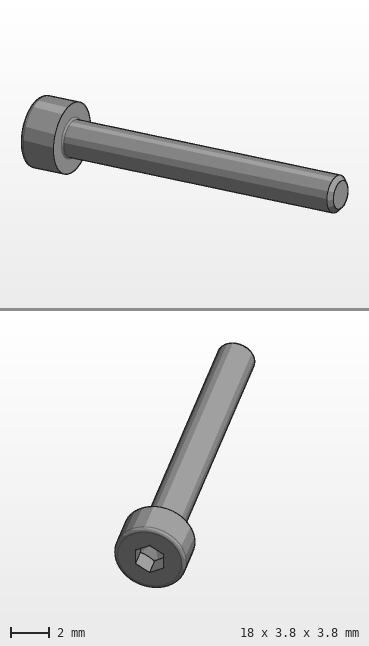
import cadquery as cq
import math

shank_diameter = 2.0
shank_length = 16.0
head_diameter = 3.8
head_height = shank_diameter
head_edge_radius = 0.2
neck_fillet_radius = 0.1
tip_diameter = 1.51
socket_across_flats = 1.5
socket_corner_depth = 1.0
socket_cone_angle = 120.0

shank_radius = shank_diameter / 2
head_radius = head_diameter / 2
tip_radius = tip_diameter / 2
tip_chamfer = shank_radius - tip_radius
tip_x = head_height + shank_length
socket_across_corners = socket_across_flats / math.cos(math.radians(30))
floor_cone_slope = math.tan(math.radians(socket_cone_angle / 2))
socket_apex_depth = socket_corner_depth + socket_across_corners / 2 / floor_cone_slope


def make_body():
    """Head, neck fillet, shank and chamfered tip revolved about the X axis."""
    arc_offset = head_edge_radius * (1 - math.sqrt(0.5))
    neck_offset = neck_fillet_radius * (1 - math.sqrt(0.5))
    profile = (
        cq.Workplane("XY")
        .moveTo(0, 0)
        .lineTo(0, head_radius - head_edge_radius)
        .threePointArc((arc_offset, head_radius - arc_offset), (head_edge_radius, head_radius))
        .lineTo(head_height, head_radius)
        .lineTo(head_height, shank_radius + neck_fillet_radius)
        .threePointArc(
            (head_height + neck_offset, shank_radius + neck_offset),
            (head_height + neck_fillet_radius, shank_radius),
        )
        .lineTo(tip_x - tip_chamfer, shank_radius)
        .lineTo(tip_x, tip_radius)
        .lineTo(tip_x, 0)
        .close()
    )
    return profile.revolve(360, (0, 0, 0), (1, 0, 0))


def make_socket():
    """Hexagonal key recess with corners at +Z and -Z and a conical floor reaching the hexagon walls."""
    hexagon = (
        cq.Workplane("YZ")
        .transformed(rotate=(0, 0, 90))
        .polygon(6, socket_across_corners)
        .extrude(socket_apex_depth)
    )
    floor_cone = (
        cq.Workplane("XY")
        .lineTo(0, socket_apex_depth * floor_cone_slope)
        .lineTo(socket_apex_depth, 0)
        .close()
        .revolve(360, (0, 0, 0), (1, 0, 0))
    )
    return hexagon.intersect(floor_cone)


screw = make_body().cut(make_socket())
result = screw.translate((-tip_x / 2, 0, 0))